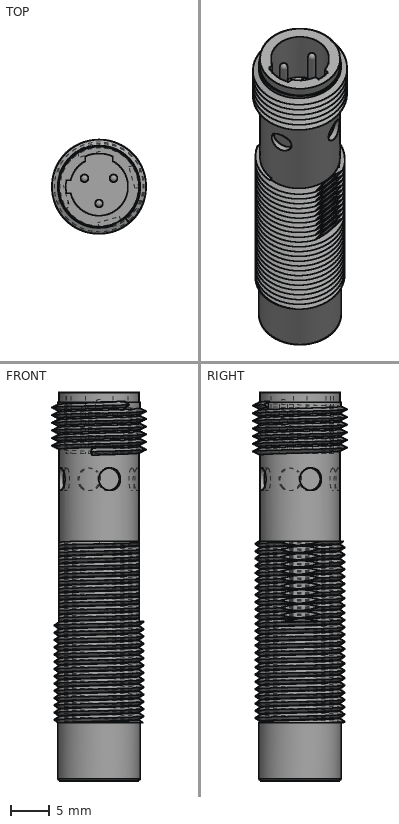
import cadquery as cq
import math

total_length = 50.9
base_radius = 5.42
base_length = 7.65
base_chamfer = 0.3
neck_radius = 5.25

barrel_top = 31.38
barrel_root_radius = neck_radius
barrel_crest_radius = 5.88
barrel_pitch = 0.95
barrel_turns = 26.25
barrel_ridge_end = 31.53
barrel_end_angle = 90.0

flat_half_width = 5.3
flat_bottom = 20.9

collar_bottom = 43.67
collar_top = 49.6
collar_radius = 5.4
collar_crest_radius = 6.18
collar_pitch = 1.0
collar_turns = 6 + 50 / 360
collar_ridge_end = 49.27
collar_end_angle = 310.0

ridge_base_fraction = 0.98
ridge_overlap = 0.05

hole_diameter = 2.95
hole_depth = 0.8
hole_height = 39.53
hole_count = 4
first_hole_angle = 16.0

socket_radius = 3.8
socket_depth = 8.0
keyway_radius = 4.35
top_keyway_width = 3.56
side_keyway_width = 1.74

pin_radius = 0.5
pin_circle_radius = 2.2
pin_tips = {30: 49.15, 150: 49.15, 270: 50.0}


def cylinder(radius, bottom, top):
    return cq.Workplane("XY").workplane(offset=bottom).circle(radius).extrude(top - bottom)


def block(x_size, y_size, bottom, top):
    return cq.Workplane("XY").workplane(offset=bottom).rect(x_size, y_size).extrude(top - bottom)


def thread_ridge(root_radius, crest_radius, pitch, turns, end_height, end_angle):
    """Right-handed V ridge whose crest ends at the given height and direction."""
    length = pitch * turns
    half_base = ridge_base_fraction * pitch / 2
    inner_radius = root_radius - ridge_overlap
    helix = cq.Wire.makeHelix(pitch, length, inner_radius)
    profile = (
        cq.Workplane("XZ")
        .moveTo(inner_radius, -half_base)
        .lineTo(crest_radius, 0)
        .lineTo(inner_radius, half_base)
        .close()
    )
    ridge = profile.sweep(cq.Workplane(helix), isFrenet=True)
    start_angle = end_angle - 360 * turns
    return ridge.rotate((0, 0, 0), (0, 0, 1), start_angle).translate((0, 0, end_height - length))


def make_barrel():
    """Threaded rod trimmed to the barrel length, with a flat on each X side."""
    trim_margin = 3 * barrel_pitch
    rod = cylinder(barrel_root_radius, base_length - trim_margin, barrel_top + trim_margin)
    ridge = thread_ridge(
        barrel_root_radius, barrel_crest_radius, barrel_pitch,
        barrel_turns, barrel_ridge_end, barrel_end_angle,
    )
    rod = rod.union(ridge)
    full_width = 3 * barrel_crest_radius
    envelope = block(full_width, full_width, base_length, flat_bottom)
    envelope = envelope.union(block(2 * flat_half_width, full_width, flat_bottom, barrel_top))
    return rod.intersect(envelope)


def make_base():
    return cylinder(base_radius, 0, base_length).faces("<Z").chamfer(base_chamfer)


def make_neck():
    """Neck with the connector ridge, and a sleeve that lifts the thread root."""
    neck = cylinder(neck_radius, barrel_top, total_length)
    ridge = thread_ridge(
        neck_radius, collar_crest_radius, collar_pitch,
        collar_turns, collar_ridge_end, collar_end_angle,
    )
    collar = cylinder(collar_radius, collar_bottom, collar_top)
    return neck.union(ridge).union(collar)


def drill_neck_holes(body):
    floor_distance = neck_radius - hole_depth
    for index in range(hole_count):
        hole = (
            cq.Workplane("YZ")
            .workplane(offset=floor_distance)
            .center(0, hole_height)
            .circle(hole_diameter / 2)
            .extrude(2 * hole_depth)
        )
        angle = first_hole_angle + index * 360 / hole_count
        body = body.cut(hole.rotate((0, 0, 0), (0, 0, 1), angle))
    return body


def make_socket():
    floor = total_length - socket_depth
    keyway_limit = cylinder(keyway_radius, floor, total_length)
    plane = cq.Workplane("XY").workplane(offset=floor)
    half_reach = keyway_radius / 2
    top_keyway = plane.center(0, half_reach).rect(top_keyway_width, keyway_radius).extrude(socket_depth)
    side_keyway = plane.center(-half_reach, 0).rect(keyway_radius, side_keyway_width).extrude(socket_depth)
    keyways = top_keyway.union(side_keyway).intersect(keyway_limit)
    return cylinder(socket_radius, floor, total_length).union(keyways)


def make_pin(angle, tip):
    floor = total_length - socket_depth
    dome_center = tip - pin_radius
    pin = cylinder(pin_radius, floor - pin_radius, dome_center)
    pin = pin.union(cq.Workplane("XY").sphere(pin_radius).translate((0, 0, dome_center)))
    x = pin_circle_radius * math.cos(math.radians(angle))
    y = pin_circle_radius * math.sin(math.radians(angle))
    return pin.translate((x, y, 0))


result = drill_neck_holes(make_neck()).cut(make_socket())
for pin_angle, pin_tip in pin_tips.items():
    result = result.union(make_pin(pin_angle, pin_tip))
result = result.union(make_barrel())
result = result.union(make_base())